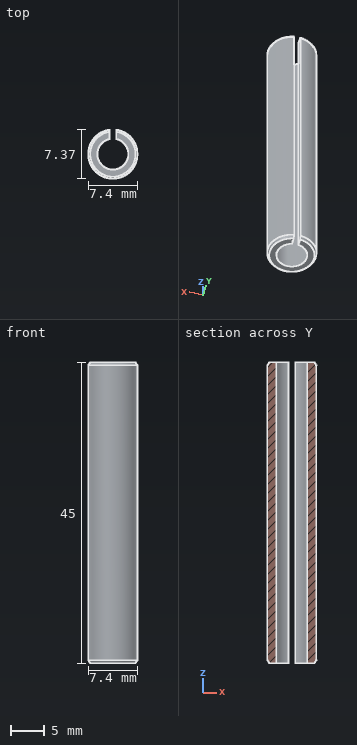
import cadquery as cq

length = 45.0
outer_diameter = 7.4
bore_diameter = 4.6
slot_width = 1.0
chamfer_height = 0.5
chamfer_depth = 0.3

outer_radius = outer_diameter / 2
end_radius = outer_radius - chamfer_depth
bore_radius = bore_diameter / 2


def make_sleeve():
    """Revolve the tube wall, with its outer edges chamfered at both ends."""
    wall = [
        (bore_radius, 0),
        (end_radius, 0),
        (outer_radius, chamfer_height),
        (outer_radius, length - chamfer_height),
        (end_radius, length),
        (bore_radius, length),
    ]
    return cq.Workplane("XZ").polyline(wall).close().revolve(360, (0, 0), (0, 1))


def make_slot():
    """Full-length slot from the axis out through the +Y side of the wall."""
    return cq.Workplane("XY").box(slot_width, outer_diameter, length, centered=(True, False, False))


result = make_sleeve().cut(make_slot())